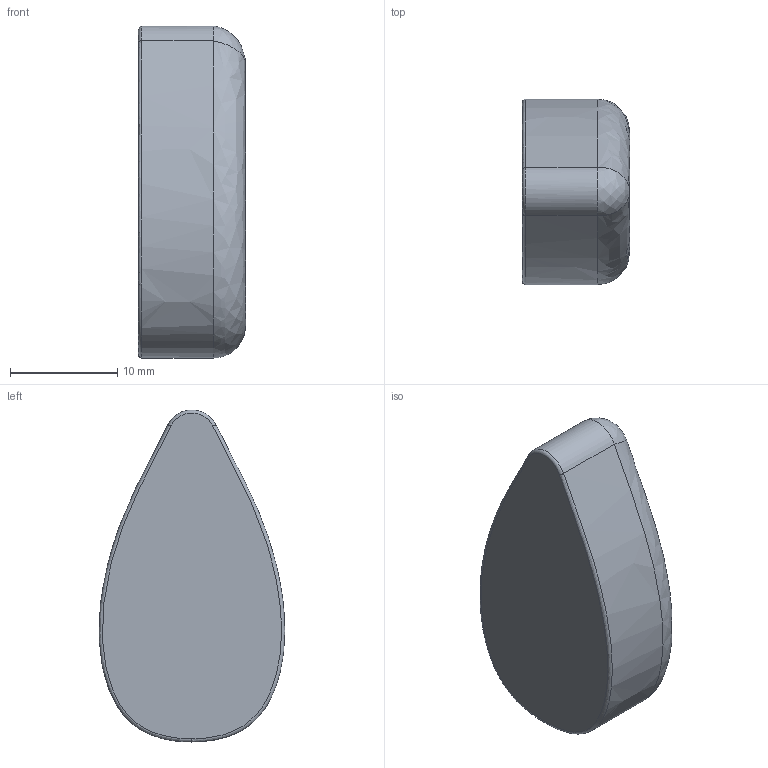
import cadquery as cq
import math

THICKNESS = 10.0
HEIGHT = 31.0

TIP_RADIUS = 2.5
SIDE_ANGLE = math.atan(1 / 2)

SHOULDER = (7.0, 19.5)
BELLY = (7.87, 5.27)

BACK_FILLET = 0.3
FRONT_FILLET = 3.0


def teardrop_body():
    """Extrude the symmetric teardrop outline along +X."""
    tip_y = TIP_RADIUS * math.cos(SIDE_ANGLE)
    tip_z = HEIGHT - TIP_RADIUS + TIP_RADIUS * math.sin(SIDE_ANGLE)
    tip_right = cq.Vector(0, tip_y, tip_z)
    tip_left = cq.Vector(0, -tip_y, tip_z)
    tip_top = cq.Vector(0, 0, HEIGHT)
    base = cq.Vector(0, 0, 0)

    side_direction = cq.Vector(0, math.sin(SIDE_ANGLE), -math.cos(SIDE_ANGLE))
    base_direction = cq.Vector(0, -1, 0)

    tip_arc = cq.Edge.makeThreePointArc(tip_left, tip_top, tip_right)
    right_side = cq.Edge.makeSpline(
        [tip_right, cq.Vector(0, *SHOULDER), cq.Vector(0, *BELLY), base],
        tangents=[side_direction, base_direction],
    )
    left_side = right_side.mirror("XZ")

    outline = cq.Wire.assembleEdges([tip_arc, right_side, left_side])
    return cq.Workplane(cq.Solid.extrudeLinear(outline, [], cq.Vector(THICKNESS, 0, 0)))


body = teardrop_body()
body = body.faces(">X").edges().fillet(FRONT_FILLET)
result = body.faces("<X").edges().fillet(BACK_FILLET)